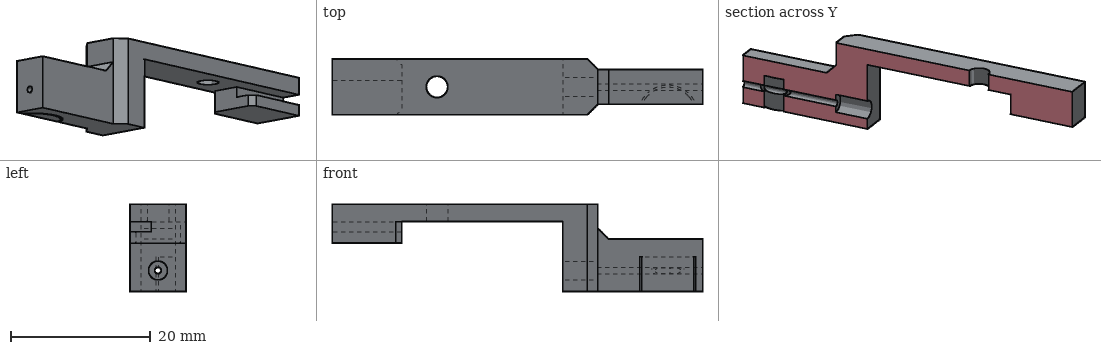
import cadquery as cq

length = 53
width = 8.0
height = 12.5

bar_thickness = 2.5
column_start = 32.95
column_end = 38.0
arm_width = 5.0
arm_height = 7.5
column_chamfer = (width - arm_width) / 2
gusset = column_chamfer

foot_length = 9.95
foot_depth = 5.55
foot_chamfer = 0.85
foot_slot_height = 1.5
foot_slot_depth = 3.0

bar_hole_diameter = 3.0
bar_hole_x = 15.0
bore_diameter = 2.7
bore_depth = column_end - column_start
pilot_diameter = 0.9
bore_z = 3.0

slot_middle_x = 47.95
slot_inner_diameter = 8.0
slot_outer_diameter = 8.6
slot_height = 5.0


def block(x_start, x_end, y_size, z_bottom, z_top):
    """Box centred on the Y axis between the given X and Z limits."""
    box = cq.Workplane("XY").box(x_end - x_start, y_size, z_top - z_bottom, centered=(False, True, False))
    return box.translate((x_start, 0, z_bottom))


def make_column():
    column = block(column_start, column_end, width, 0, height)
    return column.edges("|Z and >X").chamfer(column_chamfer)


def make_foot():
    foot = block(0, foot_length, width, height - foot_depth, height - bar_thickness)
    return foot.edges("|Z and >X").chamfer(foot_chamfer)


def make_foot_slot():
    slot_top = height - bar_thickness
    slot = block(0, foot_length, foot_slot_depth, slot_top - foot_slot_height, slot_top)
    return slot.translate((0, (width - foot_slot_depth) / 2, 0))


def make_arm():
    outline = [
        (column_start, 0),
        (length, 0),
        (length, arm_height),
        (column_end + gusset, arm_height),
        (column_end, arm_height + gusset),
        (column_start, arm_height + gusset),
    ]
    return cq.Workplane("XZ").polyline(outline).close().extrude(arm_width / 2, both=True)


def make_bore():
    """Stepped hole along X: wide through the column, narrow through the arm."""
    face = cq.Workplane("YZ", origin=(column_start, 0, bore_z))
    pilot = face.circle(pilot_diameter / 2).extrude(length - column_start)
    return face.circle(bore_diameter / 2).extrude(bore_depth).union(pilot)


def make_arm_slot():
    """Ring centred level with the -Y face of the bar, so only its inward arc cuts the arm."""
    return (
        cq.Workplane("XY", origin=(slot_middle_x, -width / 2, 0))
        .circle(slot_outer_diameter / 2)
        .circle(slot_inner_diameter / 2)
        .extrude(slot_height)
    )


bar = block(0, column_end - column_chamfer, width, height - bar_thickness, height)
bar_hole = (
    cq.Workplane("XY", origin=(bar_hole_x, 0, 0))
    .circle(bar_hole_diameter / 2)
    .extrude(height)
)

body = bar.union(make_column()).union(make_foot()).union(make_arm())
result = body.cut(make_foot_slot()).cut(bar_hole).cut(make_bore()).cut(make_arm_slot())